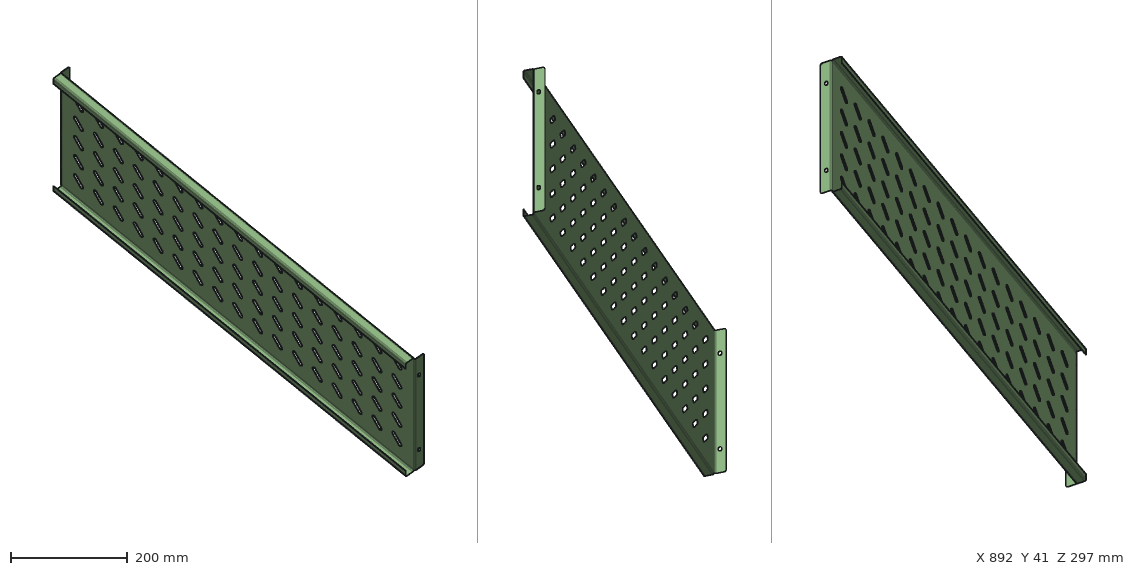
import cadquery as cq
import math

length = 892.0
depth = 41.0
height = 297.0

sheet = 1.4
bend_radius = 3.1
inner_radius = bend_radius - sheet
lip_height = 15.0
panel_front = -2.0
panel_back = panel_front + sheet

flat_length = length - 2 * bend_radius
flat_height = height - 2 * bend_radius

slot_columns = 17
slot_rows = 5
slot_span = 800.0
slot_pitch = slot_span / (slot_columns - 1)
slot_length = 30.0
slot_width = 8.5
slot_angle = -45

fixing_width = 6.0
fixing_height = 8.0
fixing_spacing = 194.5
fixing_setback = 12.0
end_corner_radius = 4.5

front = -depth / 2
back = depth / 2
diagonal = math.sqrt(0.5)


def arc_point(center, radius, u_sign, v_sign):
    """Middle of a quarter-circle bend, in the quadrant given by the signs."""
    offset = radius * diagonal
    return (center[0] + u_sign * offset, center[1] + v_sign * offset)


def make_panel():
    """Flat panel between the four bends."""
    panel_middle = (panel_front + panel_back) / 2
    return cq.Workplane("XY").box(flat_length, sheet, flat_height).translate((0, panel_middle, 0))


def make_top_channel():
    """Top flange running forward from the panel, with its lip turned down."""
    top = height / 2
    bend_z = flat_height / 2
    panel_bend = (panel_back - bend_radius, bend_z)
    lip_bend = (front + bend_radius, bend_z)
    lip_end = top - lip_height
    profile = (
        cq.Workplane("YZ")
        .moveTo(panel_back, bend_z)
        .threePointArc(arc_point(panel_bend, bend_radius, 1, 1), (panel_bend[0], top))
        .lineTo(lip_bend[0], top)
        .threePointArc(arc_point(lip_bend, bend_radius, -1, 1), (front, bend_z))
        .lineTo(front, lip_end)
        .lineTo(front + sheet, lip_end)
        .lineTo(front + sheet, bend_z)
        .threePointArc(arc_point(lip_bend, inner_radius, -1, 1), (lip_bend[0], top - sheet))
        .lineTo(panel_bend[0], top - sheet)
        .threePointArc(arc_point(panel_bend, inner_radius, 1, 1), (panel_front, bend_z))
        .close()
    )
    return profile.extrude(flat_length / 2, both=True)


def make_right_end():
    """End flange running backward from the panel, with two fixing holes."""
    side = length / 2
    bend = (flat_length / 2, panel_front + bend_radius)
    flange = (
        cq.Workplane("XY")
        .moveTo(bend[0], panel_front)
        .threePointArc(arc_point(bend, bend_radius, 1, -1), (side, bend[1]))
        .lineTo(side, back)
        .lineTo(side - sheet, back)
        .lineTo(side - sheet, bend[1])
        .threePointArc(arc_point(bend, inner_radius, 1, -1), (bend[0], panel_back))
        .close()
        .extrude(flat_height / 2, both=True)
        .edges("|X and >Y")
        .fillet(end_corner_radius)
    )
    hole_y = back - fixing_setback
    hole_z = fixing_spacing / 2
    holes = (
        cq.Workplane("YZ", origin=(flat_length / 2, 0, 0))
        .pushPoints([(hole_y, -hole_z), (hole_y, hole_z)])
        .slot2D(fixing_height, fixing_width, 90)
        .extrude(2 * bend_radius)
    )
    return flange.cut(holes)


def make_slots():
    """Cutters for the grid of slanted slots, a little longer than the sheet is thick."""
    return (
        cq.Workplane("XZ", origin=(0, panel_back + sheet, 0))
        .rarray(slot_pitch, slot_pitch, slot_columns, slot_rows)
        .slot2D(slot_length, slot_width, slot_angle)
        .extrude(3 * sheet)
    )


panel = make_panel().cut(make_slots())
top_channel = make_top_channel()
right_end = make_right_end()

result = (
    panel.union(top_channel)
    .union(top_channel.mirror("XY"))
    .union(right_end)
    .union(right_end.mirror("YZ"))
)